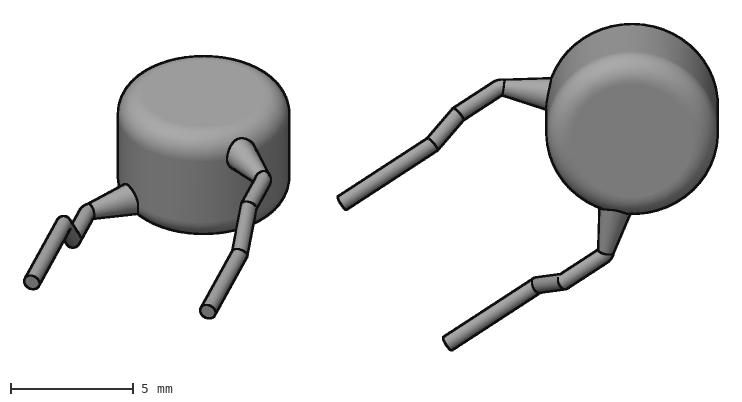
import cadquery as cq
import math

overall_length = 15.3
housing_diameter = 7.0
housing_height = 5.0
edge_radius = 1.0

lead_diameter = 0.66
lead_pitch = 7.5
elbow_radius = 0.34
elbow_start_y = -4.09
upper_kink_y = -6.03
lower_kink_y = -7.31
collar_half_angle = 10.0

housing_radius = housing_diameter / 2
lead_radius = lead_diameter / 2
lead_x = lead_pitch / 2
lead_tip_y = housing_radius - overall_length
exit_z = housing_height / 2 - edge_radius

pivot_x = lead_x - elbow_radius
pivot_distance = math.hypot(pivot_x, elbow_start_y)
collar_heading = math.atan2(-elbow_start_y, pivot_x) - math.asin(elbow_radius / pivot_distance)
elbow_angle = 90 - math.degrees(collar_heading)
collar_start_distance = math.sqrt(pivot_distance**2 - elbow_radius**2)

flat_radius = housing_radius - edge_radius
collar_length = collar_start_distance - flat_radius
collar_root_radius = lead_radius + collar_length * math.tan(math.radians(collar_half_angle))


def make_housing():
    """Disc with both rims rounded."""
    disc = cq.Workplane("XY").cylinder(housing_height, housing_radius)
    return disc.edges("%CIRCLE").fillet(edge_radius)


def make_lead():
    """Right-hand lead: kinked wire with mitred corners and an elbow at the disc end."""
    path = cq.Workplane("YZ", origin=(lead_x, 0, 0)).polyline([
        (elbow_start_y, exit_z),
        (upper_kink_y, exit_z),
        (lower_kink_y, 0),
        (lead_tip_y, 0),
    ])
    elbow_plane = cq.Workplane("XZ", origin=(lead_x, elbow_start_y, exit_z))
    wire = elbow_plane.circle(lead_radius).sweep(path, transition="right")
    elbow = elbow_plane.circle(lead_radius).revolve(elbow_angle, (-elbow_radius, 0), (-elbow_radius, 1))
    return wire.union(elbow)


def make_collar(housing):
    """Right-hand tapered collar between the elbow and the disc, seated on the disc surface."""
    toward_axis = cq.Vector(-math.cos(collar_heading), math.sin(collar_heading), 0)
    start = cq.Vector(0, 0, exit_z) - toward_axis * collar_start_distance
    cone = cq.Solid.makeCone(lead_radius, collar_root_radius, collar_length, start, toward_axis)
    return cq.Workplane(cone).cut(housing)


housing = make_housing()
right_lead = make_lead()
right_collar = make_collar(housing)

leads = []
collars = []
for turn in (0, 180):
    leads.append(right_lead.rotate((0, 0, 0), (0, 1, 0), turn).val())
    collars.append(right_collar.rotate((0, 0, 0), (0, 1, 0), turn).val())

result = cq.Compound.makeCompound([housing.val(), *collars, *leads])